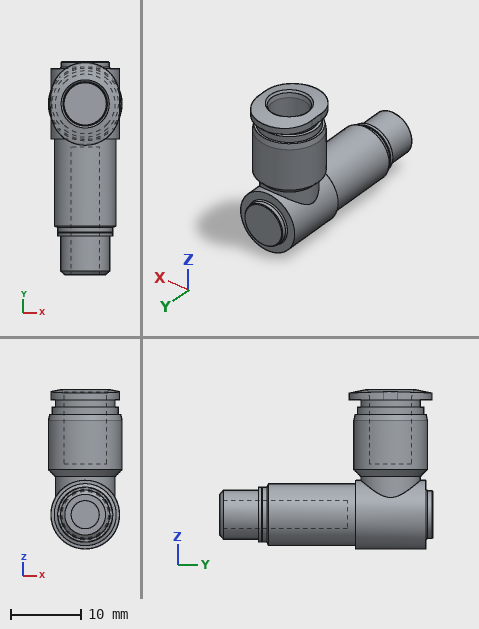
import cadquery as cq


BODY_DIA = 9.8
TUBE_DIA = 8.82
RING_DIA = 7.85
RING_GROOVE_DIA = 7.67
SPIGOT_DIA = 7.0
SPIGOT_TIP_DIA = 5.8
CAP_DIA = 6.85
CAP_EDGE_CHAMFER = 0.12
CAP_FLARE_DIA = 7.18
RUN_BORE_DIA = 4.0

RUN_LENGTH = 30.3
CAP_END_Y = 6.0
SPIGOT_TIP_Y = CAP_END_Y - RUN_LENGTH
CAP_LENGTH = 0.75
BODY_HALF_LENGTH = 5.0
TUBE_END_Y = -17.57
TUBE_CHAMFER_LENGTH = 0.2
RING_END_Y = -18.82
RING_GROOVE_Y = -18.27
RING_GROOVE_WIDTH = 0.12
SPIGOT_CHAMFER_LENGTH = 0.55
RUN_BORE_DEPTH = 18.18

NECK_DIA = 8.48
SLEEVE_DIA = 10.5
SLEEVE_TOP_DIA = 10.12
COLLAR_DIA = 9.45
PORT_BORE_DIA = 6.0
PORT_MOUTH_DIA = 6.85
PORT_LEAD_IN_DIA = 6.3

OVERALL_HEIGHT = 22.7
PORT_TOP_Z = OVERALL_HEIGHT - BODY_DIA / 2
FLANGE_BOTTOM_Z = 16.3
COLLAR_TOP_Z = 15.27
COLLAR_BOTTOM_Z = 14.27
SLEEVE_SHOULDER_Z = 13.35
SLEEVE_BOTTOM_Z = 6.42
SLEEVE_CONE_BOTTOM_Z = 5.4
PORT_BORE_DEPTH = 10.6
PORT_MOUTH_DEPTH = 0.33
PORT_LEAD_IN_DEPTH = 1.1

FLANGE_LENGTH = 11.8
FLANGE_WIDTH = BODY_DIA
FLANGE_CONE_DIA = 11.5
FLANGE_TOP_DROP = 0.48


def revolve_along_y(profile):
    """Revolve (diameter, y) points about the Y axis."""
    points = [(0, profile[0][1])]
    points += [(diameter / 2, y) for diameter, y in profile]
    points.append((0, profile[-1][1]))
    return cq.Workplane("XY").polyline(points).close().revolve(360, (0, 0), (0, 1))


def revolve_along_z(profile):
    """Revolve (diameter, z) points about the Z axis."""
    points = [(0, profile[0][1])]
    points += [(diameter / 2, z) for diameter, z in profile]
    points.append((0, profile[-1][1]))
    return cq.Workplane("XZ").polyline(points).close().revolve(360, (0, 0), (0, 1))


def make_run():
    cap_start_y = CAP_END_Y - CAP_LENGTH
    groove_rear_y = RING_GROOVE_Y + RING_GROOVE_WIDTH / 2
    groove_front_y = RING_GROOVE_Y - RING_GROOVE_WIDTH / 2
    return revolve_along_y([
        (CAP_DIA - 2 * CAP_EDGE_CHAMFER, CAP_END_Y),
        (CAP_DIA, CAP_END_Y - CAP_EDGE_CHAMFER),
        (CAP_DIA, cap_start_y),
        (CAP_FLARE_DIA, BODY_HALF_LENGTH),
        (BODY_DIA, BODY_HALF_LENGTH),
        (BODY_DIA, -BODY_HALF_LENGTH),
        (TUBE_DIA, -BODY_HALF_LENGTH),
        (TUBE_DIA, TUBE_END_Y + TUBE_CHAMFER_LENGTH),
        (RING_DIA, TUBE_END_Y),
        (RING_DIA, groove_rear_y),
        (RING_GROOVE_DIA, groove_rear_y),
        (RING_GROOVE_DIA, groove_front_y),
        (RING_DIA, groove_front_y),
        (RING_DIA, RING_END_Y),
        (SPIGOT_DIA, RING_END_Y),
        (SPIGOT_DIA, SPIGOT_TIP_Y + SPIGOT_CHAMFER_LENGTH),
        (SPIGOT_TIP_DIA, SPIGOT_TIP_Y),
    ])


def make_port():
    return revolve_along_z([
        (NECK_DIA, 0),
        (NECK_DIA, SLEEVE_CONE_BOTTOM_Z),
        (SLEEVE_DIA, SLEEVE_BOTTOM_Z),
        (SLEEVE_DIA, SLEEVE_SHOULDER_Z),
        (SLEEVE_TOP_DIA, COLLAR_BOTTOM_Z),
        (COLLAR_DIA, COLLAR_BOTTOM_Z),
        (COLLAR_DIA, COLLAR_TOP_Z),
        (NECK_DIA, COLLAR_TOP_Z),
        (NECK_DIA, FLANGE_BOTTOM_Z),
    ])


def make_flange():
    plate = (
        cq.Workplane("XY", origin=(0, 0, FLANGE_BOTTOM_Z))
        .slot2D(FLANGE_LENGTH, FLANGE_WIDTH, 90)
        .extrude(PORT_TOP_Z - FLANGE_BOTTOM_Z)
    )
    conical_top = revolve_along_z([
        (FLANGE_LENGTH, FLANGE_BOTTOM_Z),
        (FLANGE_LENGTH, PORT_TOP_Z - FLANGE_TOP_DROP),
        (FLANGE_CONE_DIA, PORT_TOP_Z - FLANGE_TOP_DROP),
        (PORT_MOUTH_DIA, PORT_TOP_Z),
    ])
    return plate.intersect(conical_top)


def make_port_bore():
    return revolve_along_z([
        (PORT_BORE_DIA, PORT_TOP_Z - PORT_BORE_DEPTH),
        (PORT_BORE_DIA, PORT_TOP_Z - PORT_LEAD_IN_DEPTH),
        (PORT_LEAD_IN_DIA, PORT_TOP_Z - PORT_MOUTH_DEPTH),
        (PORT_MOUTH_DIA, PORT_TOP_Z),
    ])


def make_run_bore():
    return revolve_along_y([
        (RUN_BORE_DIA, SPIGOT_TIP_Y + RUN_BORE_DEPTH),
        (RUN_BORE_DIA, SPIGOT_TIP_Y),
    ])


elbow = make_run().union(make_port()).union(make_flange())
result = elbow.cut(make_port_bore()).cut(make_run_bore())